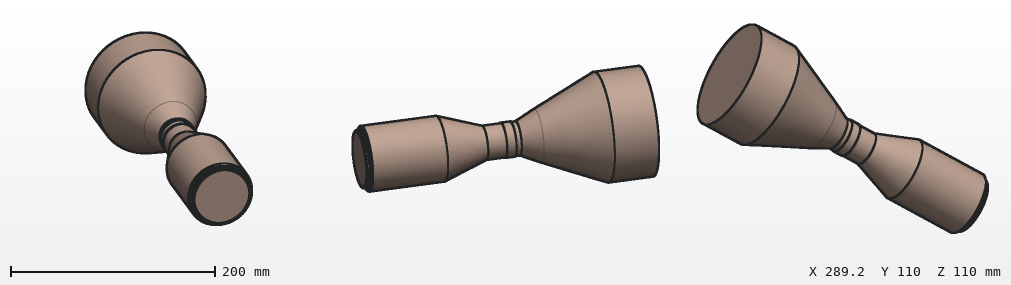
import cadquery as cq

length = 289.2
drum_end = 44.8
cone_break = 109.0
neck_start = 128.5
ring_start = 134.5
ring_end = 144.0
neck_end = 164.0
handle_start = 207.6
shoulder = 285.2

drum_radius = 55.0
break_radius = 26.5
neck_radius = 17.0
ring_radius = 17.5
handle_radius = 32.7
cap_radius = 29.0

neck_blend = 1.0
neck_blend_rise = 0.3
handle_chamfer = 1.7
cap_chamfer = 1.0

blend_radius = neck_radius + neck_blend_rise
large_end = [(0, 0), (0, drum_radius), (drum_end, drum_radius), (cone_break, break_radius)]
neck = [
    (neck_start, blend_radius),
    (neck_start + neck_blend, neck_radius),
    (ring_start, neck_radius),
    (ring_start, ring_radius),
    (ring_end, ring_radius),
    (ring_end, neck_radius),
    (neck_end - neck_blend, neck_radius),
    (neck_end, blend_radius),
]
handle = [
    (handle_start, handle_radius),
    (shoulder - handle_chamfer, handle_radius),
    (shoulder, handle_radius - handle_chamfer),
]
cap = [
    (shoulder, cap_radius - cap_chamfer),
    (shoulder + cap_chamfer, cap_radius),
    (length - cap_chamfer, cap_radius),
    (length, cap_radius - cap_chamfer),
    (length, 0),
]

profile = cq.Workplane("XZ").polyline(large_end + neck + handle + cap).close()
result = profile.revolve(360, (0, 0, 0), (1, 0, 0))